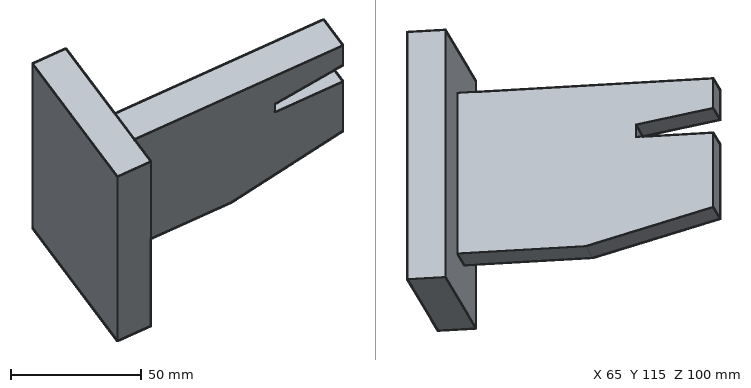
import cadquery as cq

total_length = 115.0
plate_width = 65.0
plate_height = 100.0

stock_thickness = 15.0

blade_height = plate_width
blade_length = total_length - stock_thickness

upper_lip_height = 12.1
slot_depth = 30.2
slot_floor_drop = 22.0
slot_end_height = 5.0

slope_length = 49.8
slope_height = 12.9


def make_plate():
    """Upright rectangular plate with its front face at Y = 0."""
    return cq.Workplane("XY").box(
        plate_width, stock_thickness, plate_height, centered=(True, False, True)
    )


def make_blade():
    """Slotted blade standing on the back face of the plate."""
    root_y = stock_thickness
    tip_y = root_y + blade_length
    slot_end_y = tip_y - slot_depth
    top_z = blade_height / 2
    bottom_z = -top_z
    slot_floor_z = top_z - slot_floor_drop

    outline = [
        (root_y, bottom_z),
        (tip_y - slope_length, bottom_z),
        (tip_y, bottom_z + slope_height),
        (tip_y, slot_floor_z),
        (slot_end_y, slot_floor_z),
        (slot_end_y, slot_floor_z + slot_end_height),
        (tip_y, top_z - upper_lip_height),
        (tip_y, top_z),
        (root_y, top_z),
    ]
    return (
        cq.Workplane("YZ")
        .polyline(outline)
        .close()
        .extrude(stock_thickness / 2, both=True)
    )


plate = make_plate()
blade = make_blade()

result = cq.Compound.makeCompound([plate.val(), blade.val()])